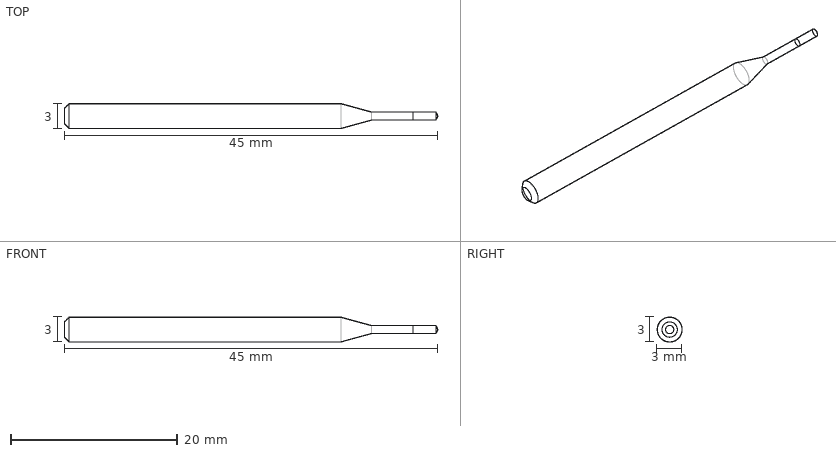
import cadquery as cq

total_length = 45.0
cutter_length = 3.0
neck_length = 5.0
taper_length = 3.7

shank_diameter = 3.0
shank_radius = shank_diameter / 2
shank_chamfer = 0.6

tip_diameter = 1.0
tip_radius = tip_diameter / 2
point_length = 0.25

cutter_start = total_length - cutter_length
neck_start = cutter_start - neck_length
taper_start = neck_start - taper_length
point_start = total_length - point_length


def revolve_about_x(profile):
    """Turn an (x, radius) half outline, closed along the X axis, into a solid."""
    return cq.Workplane("XY").polyline(profile).close().revolve(360, (0, 0, 0), (1, 0, 0))


def make_holder():
    """Chamfered shank that tapers down to a slender neck."""
    return revolve_about_x([
        (0, 0),
        (0, shank_radius - shank_chamfer),
        (shank_chamfer, shank_radius),
        (taper_start, shank_radius),
        (neck_start, tip_radius),
        (cutter_start, tip_radius),
        (cutter_start, 0),
    ])


def make_cutter():
    """Cylindrical cutter on the end of the neck, closed by a shallow conical point."""
    return revolve_about_x([
        (cutter_start, 0),
        (cutter_start, tip_radius),
        (point_start, tip_radius),
        (total_length, 0),
    ])


holder = make_holder()
cutter = make_cutter()
result = cq.Compound.makeCompound([holder.val(), cutter.val()])